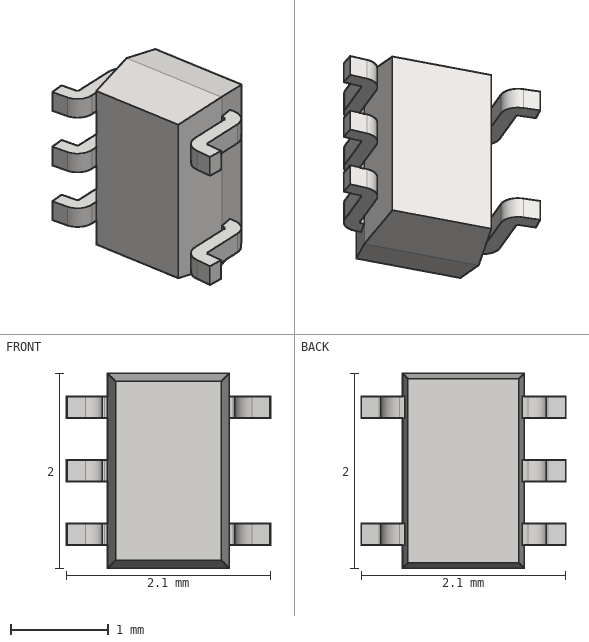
import cadquery as cq
import math

housing_width = 1.25
housing_length = 2.0
housing_height = 1.0
parting_height = 0.6
draft_angle = 8.0

lead_span = 2.1
lead_width = 0.225
lead_thickness = 0.165
lead_pitch = 0.65
leg_outer_x = 0.846
inner_bend_radius = 0.02
outer_bend_radius = inner_bend_radius + lead_thickness
foot_angle = math.radians(4.0)
standoff = 0.1

LEFT = -1
RIGHT = 1
lead_places = [(LEFT, -1), (LEFT, 0), (LEFT, 1), (RIGHT, -1), (RIGHT, 1)]


def make_housing():
    """Two drafted halves of one moulding, joined at the parting plane."""
    parting_plane = cq.Workplane("XZ", origin=(0, parting_height, 0))

    def drafted_half(height):
        return parting_plane.rect(housing_width, housing_length).extrude(height, taper=draft_angle)

    lower_half = drafted_half(parting_height)
    upper_half = drafted_half(parting_height - housing_height)
    return lower_half.union(upper_half)


def make_lead(side, z_center):
    """One lead, ending flush on the drafted side face of the housing."""
    shoulder_bottom = parting_height
    shoulder_top = shoulder_bottom + lead_thickness
    root_bottom_x = housing_width / 2
    root_top_x = root_bottom_x - lead_thickness * math.tan(math.radians(draft_angle))

    upper_x = leg_outer_x - outer_bend_radius
    upper_y = shoulder_top - outer_bend_radius
    lower_x = leg_outer_x + inner_bend_radius
    foot_reach = lead_span / 2 - lower_x + inner_bend_radius * math.sin(foot_angle)
    foot_length = foot_reach / math.cos(foot_angle)
    foot_drop = foot_length * math.sin(foot_angle)
    lower_y = outer_bend_radius * math.cos(foot_angle) + foot_drop - standoff

    quarter = math.pi / 2
    foot_start = quarter - foot_angle

    def upper_bend(radius, angle):
        return (side * (upper_x + radius * math.cos(angle)), upper_y + radius * math.sin(angle))

    def lower_bend(radius, angle):
        return (side * (lower_x - radius * math.cos(angle)), lower_y - radius * math.sin(angle))

    def foot_tip(radius):
        bend_x, bend_y = lower_bend(radius, foot_start)
        return (bend_x + side * foot_reach, bend_y - foot_drop)

    profile = (
        cq.Workplane("XY", origin=(0, 0, z_center - lead_width / 2))
        .moveTo(side * root_top_x, shoulder_top)
        .lineTo(*upper_bend(outer_bend_radius, quarter))
        .threePointArc(upper_bend(outer_bend_radius, quarter / 2), upper_bend(outer_bend_radius, 0))
        .lineTo(*lower_bend(inner_bend_radius, 0))
        .threePointArc(
            lower_bend(inner_bend_radius, foot_start / 2),
            lower_bend(inner_bend_radius, foot_start),
        )
        .lineTo(*foot_tip(inner_bend_radius))
        .lineTo(*foot_tip(outer_bend_radius))
        .lineTo(*lower_bend(outer_bend_radius, foot_start))
        .threePointArc(
            lower_bend(outer_bend_radius, foot_start / 2),
            lower_bend(outer_bend_radius, 0),
        )
        .lineTo(*upper_bend(inner_bend_radius, 0))
        .threePointArc(upper_bend(inner_bend_radius, quarter / 2), upper_bend(inner_bend_radius, quarter))
        .lineTo(side * root_bottom_x, shoulder_bottom)
        .close()
    )
    return profile.extrude(lead_width)


housing = make_housing()
leads = [make_lead(side, row * lead_pitch) for side, row in lead_places]

result = cq.Compound.makeCompound([housing.val(), *[lead.val() for lead in leads]])